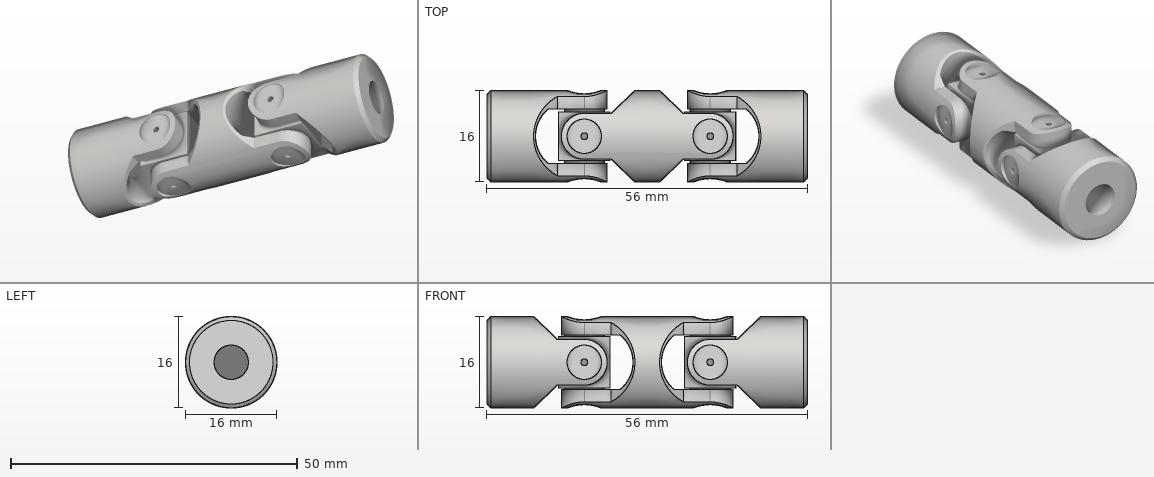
import cadquery as cq
import math

total_length = 56.0
body_diameter = 16.0
joint_offset = 11.0

body_radius = body_diameter / 2
ear_radius = 4.0
ear_inner_face = 4.75
ear_root = 4.7
shoulder_reach = 8.85
gap_radius = 6.25
gap_depth = 8.5
gap_corner = gap_depth - gap_radius + math.sqrt(gap_radius**2 - ear_inner_face**2)
end_chamfer = 0.7
shaft_bore_diameter = 6.0

block_size = 9.0
block_width = 8.5
collar_diameter = 7.0
pin_diameter = 6.0
pin_reach = 7.35
centre_hole_diameter = 1.2
centre_hole_depth = 0.8


def rod(diameter, start, end):
    """Round bar along X between two X positions."""
    return cq.Workplane("YZ", origin=(start, 0, 0)).circle(diameter / 2).extrude(end - start)


def fork_envelope(length):
    """Prism along Z with the fork outline: rounded ear end, straight sides and shoulders."""
    outline = (
        cq.Workplane("XY")
        .moveTo(0, ear_radius)
        .lineTo(ear_root, ear_radius)
        .lineTo(shoulder_reach, body_radius)
        .lineTo(length, body_radius)
        .lineTo(length, -body_radius)
        .lineTo(shoulder_reach, -body_radius)
        .lineTo(ear_root, -ear_radius)
        .lineTo(0, -ear_radius)
        .threePointArc((-ear_radius, 0), (0, ear_radius))
        .close()
    )
    return outline.extrude(body_radius, both=True)


def ear_gap():
    """Gap between the two ears, open along Y and toward -X, with a rounded bottom."""
    outline = (
        cq.Workplane("XZ")
        .moveTo(-body_radius, -ear_inner_face)
        .lineTo(gap_corner, -ear_inner_face)
        .threePointArc((gap_depth, 0), (gap_corner, ear_inner_face))
        .lineTo(-body_radius, ear_inner_face)
        .close()
    )
    return outline.extrude(body_radius, both=True)


def cut_fork(blank, length):
    """Shape the -X end of a bar into a fork around a cross at the origin, with ears at +Z and -Z."""
    ear_holes = cq.Workplane("XY").circle(pin_diameter / 2).extrude(body_radius, both=True)
    return blank.intersect(fork_envelope(length)).cut(ear_gap()).cut(ear_holes)


def end_yoke():
    """Right-hand end yoke, ears at +Y and -Y, with a shaft bore along its axis."""
    length = total_length / 2 - joint_offset
    blank = rod(body_diameter, -ear_radius, length).faces(">X").edges().chamfer(end_chamfer)
    yoke = cut_fork(blank, length).cut(rod(shaft_bore_diameter, 0, length))
    return yoke.rotate((0, 0, 0), (1, 0, 0), 90).translate((joint_offset, 0, 0))


def centre_yoke():
    """Solid bar with a fork at each end, ears at +Z and -Z."""
    length = 2 * joint_offset + ear_radius
    yoke = rod(body_diameter, -ear_radius, length)
    yoke = cut_fork(yoke, length).translate((-joint_offset, 0, 0))
    yoke = yoke.mirror("YZ").translate((joint_offset, 0, 0))
    return cut_fork(yoke, length).translate((-joint_offset, 0, 0))


def trunnion():
    """Collar and pin along +Z, with a centre hole in the pin end."""
    collar = cq.Workplane("XY").circle(collar_diameter / 2).extrude(ear_inner_face)
    pin = cq.Workplane("XY").circle(pin_diameter / 2).extrude(pin_reach)
    centre_hole = (
        cq.Workplane("XY", origin=(0, 0, pin_reach - centre_hole_depth))
        .circle(centre_hole_diameter / 2)
        .extrude(centre_hole_depth)
    )
    return collar.union(pin).cut(centre_hole)


def cross(x):
    """Block with four trunnions along +Y, -Y, +Z and -Z."""
    body = cq.Workplane("XY").box(block_size, block_width, block_size)
    for angle in range(0, 360, 90):
        body = body.union(trunnion().rotate((0, 0, 0), (1, 0, 0), angle))
    return body.translate((x, 0, 0))


right_yoke = end_yoke()
left_yoke = right_yoke.mirror("YZ")
middle = centre_yoke()
crosses = [cross(side * joint_offset) for side in (-1, 1)]

result = cq.Compound.makeCompound(
    [left_yoke.val(), middle.val(), right_yoke.val(), *[c.val() for c in crosses]]
)